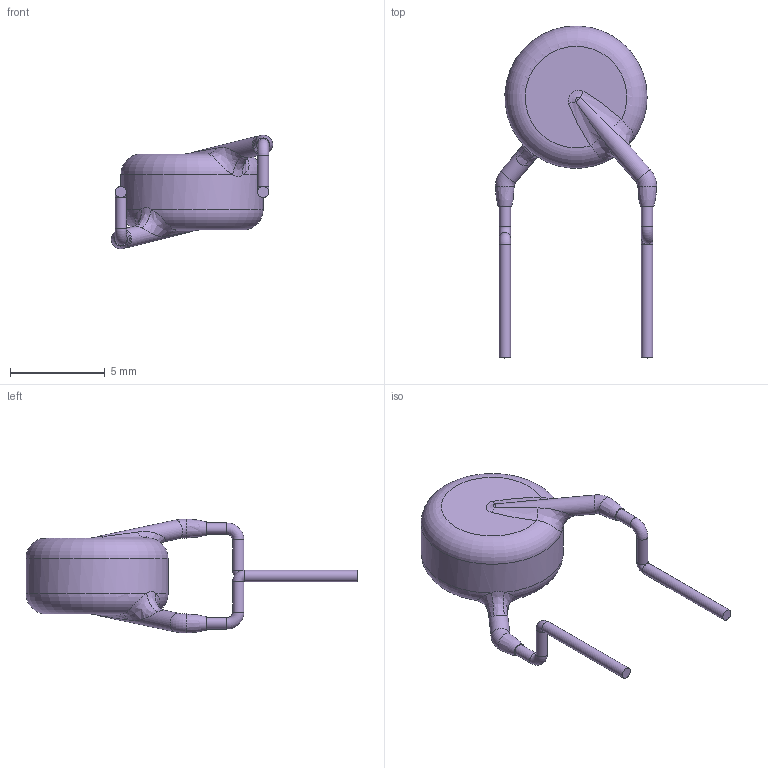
import cadquery as cq
import math


disc_diameter = 7.5
disc_thickness = 4.0
disc_edge_radius = 1.07

lead_pitch = 7.5
wire_radius = 0.3
lead_x = lead_pitch / 2
lead_z = 2.5
lead_tail_length = 6.0
lead_tip_y = -13.75
upper_bend_radius = 0.6
lower_bend_radius = 0.31
tail_start_y = lead_tip_y + lead_tail_length
drop_y = tail_start_y + lower_bend_radius

leg_radius = 0.5
leg_start = cq.Vector(0.15, -0.2, 1.61)
leg_corner = cq.Vector(lead_x, -4.4, lead_z)
leg_bend_tangent = 0.3
leg_blend_radius = 1.0
taper_length = 1.05
taper_mid_radius = 0.46
taper_end_radius = 0.35
taper_start_y = leg_corner.y - leg_bend_tangent
taper_end_y = taper_start_y - taper_length

half_turns = (0, 180)
touch_tolerance = 1e-4


def turned_about_y(shape, angle):
    return shape.rotate((0, 0, 0), (0, 1, 0), angle)


def make_disc():
    disc = cq.Workplane("XY", origin=(0, 0, -disc_thickness / 2))
    disc = disc.circle(disc_diameter / 2).extrude(disc_thickness)
    return disc.edges().fillet(disc_edge_radius)


def make_leg_shaft():
    """Straight round shaft with a domed tip, rising from the disc centre to the start of the bend."""
    direction = leg_corner - leg_start
    length = direction.Length - leg_bend_tangent
    sideways = direction.cross(cq.Vector(0, 0, 1))
    section_plane = cq.Plane(leg_start, sideways.cross(direction), direction)
    rod = cq.Workplane(section_plane).circle(leg_radius).extrude(length)
    tip = cq.Workplane(section_plane).sphere(leg_radius)
    return rod.union(tip)


def make_leg_bend():
    """Round elbow turning the leg from the shaft direction to -Y."""
    shaft_direction = (leg_corner - leg_start).normalized()
    exit_direction = cq.Vector(0, -1, 0)
    turn_angle = shaft_direction.getAngle(exit_direction)
    bend_radius = leg_bend_tangent / math.tan(turn_angle / 2)
    bend_axis = shaft_direction.cross(exit_direction).normalized()
    towards_centre = bend_axis.cross(shaft_direction)
    bend_start = leg_corner - shaft_direction * leg_bend_tangent
    section = cq.Workplane(cq.Plane(bend_start, towards_centre, shaft_direction)).circle(leg_radius)
    return section.revolve(math.degrees(turn_angle), (bend_radius, 0), (bend_radius, 1))


def make_leg_taper():
    """Bulging taper from the leg down to just over the wire size."""
    return (
        cq.Workplane("XY", origin=(lead_x, 0, lead_z))
        .moveTo(0, taper_start_y)
        .lineTo(leg_radius, taper_start_y)
        .threePointArc((taper_mid_radius, (taper_start_y + taper_end_y) / 2), (taper_end_radius, taper_end_y))
        .lineTo(0, taper_end_y)
        .close()
        .revolve(360, (0, 0), (0, 1))
    )


def edges_shared_by(joined, first, second):
    """Edges of the joined shape that lie on the skins of both of the given shapes."""
    skins = [first.val().Shells()[0], second.val().Shells()[0]]

    def lies_on_both(edge):
        midpoint = cq.Vertex.makeVertex(*edge.positionAt(0.5).toTuple())
        return all(skin.distance(midpoint) < touch_tolerance for skin in skins)

    return [edge for edge in joined.edges().vals() if lies_on_both(edge)]


def make_housing():
    """Disc with both coating legs, blended where the shafts leave the disc."""
    disc = make_disc()
    shafts = [turned_about_y(make_leg_shaft(), angle) for angle in half_turns]
    housing = disc.union(shafts[0]).union(shafts[1])
    blend_edges = []
    for shaft in shafts:
        blend_edges += edges_shared_by(housing, disc, shaft)
    housing = housing.newObject(blend_edges).fillet(leg_blend_radius)
    for angle in half_turns:
        housing = housing.union(turned_about_y(make_leg_bend(), angle))
        housing = housing.union(turned_about_y(make_leg_taper(), angle))
    return housing


def make_lead(angle):
    """Wire running out of the coating, down to mid-height and on to its tip."""
    upper_bend_y = drop_y + upper_bend_radius
    upper_bend_z = lead_z - upper_bend_radius
    path = (
        cq.Workplane("YZ", origin=(lead_x, 0, 0))
        .moveTo(taper_end_y, lead_z)
        .lineTo(upper_bend_y, lead_z)
        .tangentArcPoint((drop_y, upper_bend_z), relative=False)
        .lineTo(drop_y, lower_bend_radius)
        .tangentArcPoint((tail_start_y, 0), relative=False)
        .lineTo(lead_tip_y, 0)
    )
    section = cq.Workplane("XZ", origin=(lead_x, taper_end_y, lead_z)).circle(wire_radius)
    return turned_about_y(section.sweep(path), angle)


housing = make_housing()
leads = [make_lead(angle) for angle in half_turns]

result = cq.Compound.makeCompound([housing.solids().val(), *[lead.val() for lead in leads]])